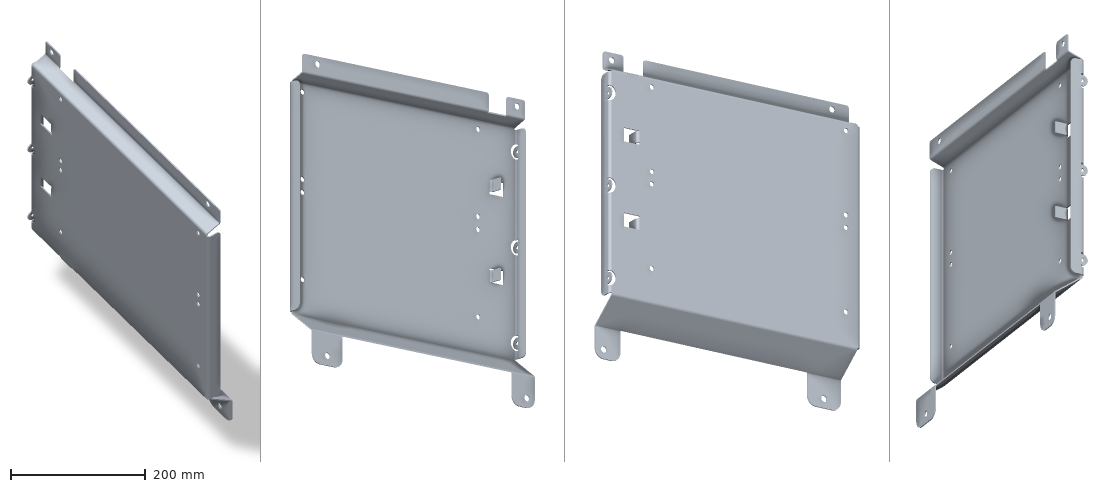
import cadquery as cq
import math


total_width = 441.61
total_height = 479.12
sheet = 2.0
bend_inner = 3.0
bend_outer = bend_inner + sheet

flange_height = 352.0
flange_depth = 23.0
flange_corner = 8.0

lower_drop = 87.0
upper_rise = total_height - flange_height - lower_drop
upper_back = 26.5
lower_back = 48.92
upper_slope = math.radians(20.0)
lower_slope = math.radians(36.5)
tab_bend_inner = 1.5
tab_bend_outer = tab_bend_inner + sheet

upper_tab_width = 35.3
upper_gap_width = 35.2
upper_tab_corner = 4.0

lower_left_width = 44.0
lower_right_width = 58.5
lower_tab_corner = 15.0

tab_hole = 10.0
left_hole_inset = 15.0
right_hole_inset = 29.5
upper_hole_drop = 11.6
lower_hole_rise = 15.0

plate_hole = 8.0
plate_hole_left_inset = 70.0
plate_hole_right_inset = 20.5
plate_hole_heights = (53.0, 187.0, 207.0, 341.0)

window_width = 28.5
window_height = 22.0
window_inset = 20.5
window_bottoms = (109.7, 245.0)
lug_height = 18.5
lug_depth = 23.0

eyelet_heights = (24.0, 171.0, 318.0)
eyelet_y = 3.8
eyelet_front = 5.0
eyelet_radius = eyelet_y + eyelet_front
eyelet_hole = 6.0
opening_radius = 12.0
relief_depth = 6.8

pick = 0.1

half_width = total_width / 2
side = half_width - bend_outer
top_z = flange_height + upper_rise
bottom_z = -lower_drop
upper_fold_z = flange_height + bend_outer * math.tan((math.pi / 2 - upper_slope) / 2)
lower_fold_z = -bend_outer * math.tan((math.pi / 2 - lower_slope) / 2)
upper_tab_z = upper_fold_z + (upper_back - sheet) * math.tan(upper_slope)
lower_tab_z = lower_fold_z - (lower_back - sheet) * math.tan(lower_slope)


def box(x0, x1, y0, y1, z0, z1):
    """Axis-aligned block between two opposite corners."""
    return cq.Workplane("XY").box(x1 - x0, y1 - y0, z1 - z0, centered=False).translate((x0, y0, z0))


def bore_y(x, z, diameter):
    """Cylinder along Y long enough to pierce the whole part."""
    reach = 2 * lower_back
    return cq.Workplane("XZ").center(x, z).circle(diameter / 2).extrude(reach, both=True)


def round_fold(body, y, z, radius):
    """Fillet the fold edge that runs along X through (y, z)."""
    picker = cq.selectors.BoxSelector((-half_width, y - pick, z - pick), (half_width, y + pick, z + pick))
    return body.edges(picker).fillet(radius)


def folded_strip():
    """Plate with its sloped strips and tab strips, as one folded section."""
    upper_shift = sheet * math.tan((math.pi / 2 - upper_slope) / 2)
    lower_shift = sheet * math.tan((math.pi / 2 - lower_slope) / 2)
    plate_bottom_front = (0, lower_fold_z)
    plate_top_front = (0, upper_fold_z)
    upper_tab_front = (upper_back - sheet, upper_tab_z)
    upper_tab_rear = (upper_back, upper_tab_z - upper_shift)
    plate_top_rear = (sheet, upper_fold_z - upper_shift)
    plate_bottom_rear = (sheet, lower_fold_z + lower_shift)
    lower_tab_rear = (lower_back, lower_tab_z + lower_shift)
    lower_tab_front = (lower_back - sheet, lower_tab_z)
    outline = [
        plate_bottom_front,
        plate_top_front,
        upper_tab_front,
        (upper_back - sheet, top_z),
        (upper_back, top_z),
        upper_tab_rear,
        plate_top_rear,
        plate_bottom_rear,
        lower_tab_rear,
        (lower_back, bottom_z),
        (lower_back - sheet, bottom_z),
        lower_tab_front,
    ]
    fold_radii = (
        (plate_bottom_front, bend_outer),
        (plate_top_front, bend_outer),
        (plate_top_rear, bend_inner),
        (plate_bottom_rear, bend_inner),
        (upper_tab_front, tab_bend_inner),
        (upper_tab_rear, tab_bend_outer),
        (lower_tab_front, tab_bend_inner),
        (lower_tab_rear, tab_bend_outer),
    )
    body = cq.Workplane("YZ").polyline(outline).close().extrude(side, both=True)
    for (y, z), radius in fold_radii:
        body = round_fold(body, y, z, radius)
    return body


def cut_tabs(body):
    """Separate the tabs where their bends begin, round their corners and drill them."""
    gap_left = -side + upper_tab_width
    gap_right = gap_left + upper_gap_width
    upper_gap_front = upper_back - sheet - tab_bend_inner * (1 - math.sin(upper_slope))
    body = body.cut(box(gap_left, gap_right, upper_gap_front, upper_back, flange_height, top_z))
    lower_left = -side + lower_left_width
    lower_right = side - lower_right_width
    lower_gap_front = lower_back - sheet - tab_bend_inner * (1 - math.sin(lower_slope))
    body = body.cut(box(lower_left, lower_right, lower_gap_front, lower_back, bottom_z, 0))
    upper_corners = cq.selectors.BoxSelector(
        (-half_width, 0, top_z - pick), (half_width, lower_back, top_z + pick))
    lower_corners = cq.selectors.BoxSelector(
        (-half_width, 0, bottom_z - pick), (half_width, lower_back, bottom_z + pick))
    body = body.edges("|Y").edges(upper_corners).fillet(upper_tab_corner)
    body = body.edges("|Y").edges(lower_corners).fillet(lower_tab_corner)
    for x in (-side + left_hole_inset, side - right_hole_inset):
        body = body.cut(bore_y(x, top_z - upper_hole_drop, tab_hole))
        body = body.cut(bore_y(x, bottom_z + lower_hole_rise, tab_hole))
    return body


def bent_leg(depth, height):
    """Sheet leaving x = 0 towards -X and bending a quarter turn back to +Y."""
    mid = math.sqrt(0.5)
    return (
        cq.Workplane("XY")
        .moveTo(0, 0)
        .threePointArc((-bend_outer * mid, bend_outer * (1 - mid)), (-bend_outer, bend_outer))
        .lineTo(-bend_outer, depth)
        .lineTo(-bend_inner, depth)
        .lineTo(-bend_inner, bend_outer)
        .threePointArc((-bend_inner * mid, bend_outer - bend_inner * mid), (0, sheet))
        .close()
        .extrude(height)
    )


def side_flange():
    """Left flange with rounded rear corners."""
    leg = bent_leg(flange_depth, flange_height)
    return leg.faces(">Y").edges("|X").fillet(flange_corner).translate((-side, 0, 0))


def add_window(body, bottom, lug_bottom):
    """Rectangular window whose right side carries a bent lug."""
    left = -side + window_inset
    right = left + window_width
    body = body.cut(box(left, right, 0, sheet, bottom, bottom + window_height))
    return body.union(bent_leg(lug_depth, lug_height).translate((right, 0, lug_bottom)))


def add_eyelet(body, z):
    """Opening across the left bend with a drilled eyelet standing in it."""
    opening = cq.Workplane("XZ").center(-half_width, z).circle(opening_radius).extrude(-relief_depth)
    flange_plane = cq.Workplane("YZ", origin=(-half_width, 0, 0)).center(eyelet_y, z)
    disc = flange_plane.circle(eyelet_radius).extrude(sheet)
    hole = flange_plane.circle(eyelet_hole / 2).extrude(sheet)
    root = box(
        -half_width, -half_width + sheet, eyelet_y, relief_depth, z - eyelet_radius, z + eyelet_radius
    )
    return body.cut(opening).union(disc).union(root).cut(hole)


def drill_plate(body):
    """Two columns of holes through the plate."""
    for z in plate_hole_heights:
        for x in (-side + plate_hole_left_inset, side - plate_hole_right_inset):
            body = body.cut(bore_y(x, z, plate_hole))
    return body


result = cut_tabs(folded_strip())
left_flange = side_flange()
result = result.union(left_flange).union(left_flange.mirror("YZ"))
result = drill_plate(result)
lower_window, upper_window = window_bottoms
result = add_window(result, lower_window, lower_window)
result = add_window(result, upper_window, upper_window + window_height - lug_height)
for z in eyelet_heights:
    result = add_eyelet(result, z)